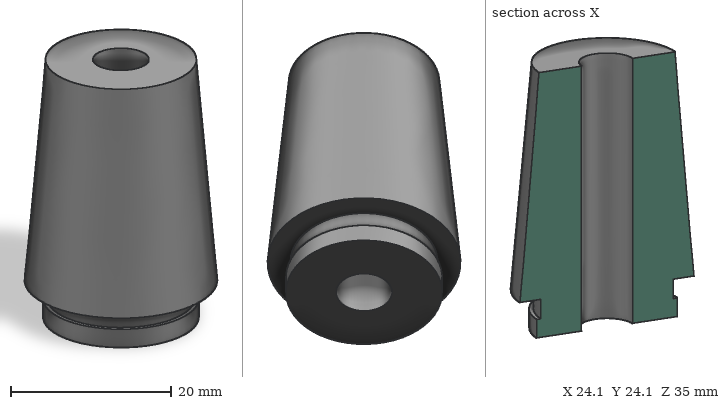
import cadquery as cq

total_height = 35.0
body_height = 30.0
body_bottom = total_height - body_height
flange_height = body_bottom / 2

flange_diameter = 19.5
neck_diameter = 18.4
body_bottom_diameter = 24.1
body_top_diameter = 18.85
bore_diameter = 7.0

profile = (
    cq.Workplane("XZ")
    .moveTo(bore_diameter / 2, 0)
    .lineTo(flange_diameter / 2, 0)
    .lineTo(flange_diameter / 2, flange_height)
    .lineTo(neck_diameter / 2, flange_height)
    .lineTo(neck_diameter / 2, body_bottom)
    .lineTo(body_bottom_diameter / 2, body_bottom)
    .lineTo(body_top_diameter / 2, total_height)
    .lineTo(bore_diameter / 2, total_height)
    .close()
)

result = profile.revolve(360, (0, 0, 0), (0, 1, 0))